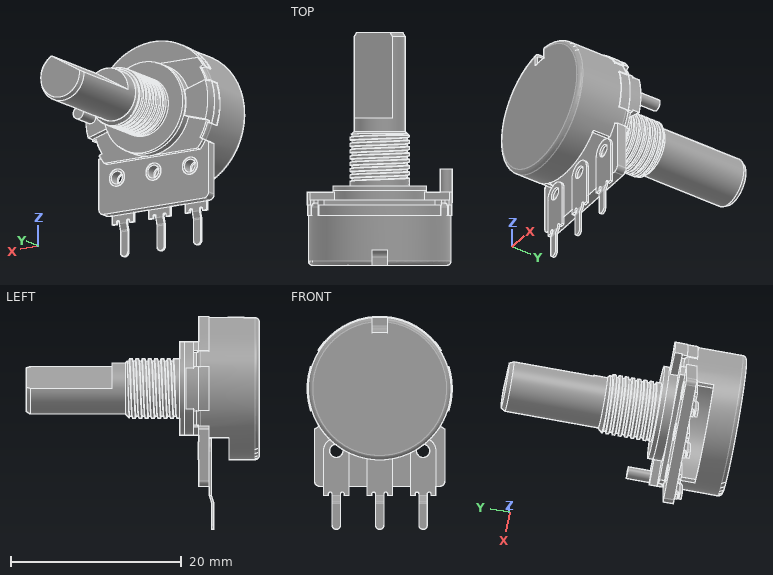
import cadquery as cq
import math


LEDGE_Y = 3.58
WAFER_BACK_Y = 5.87
WAFER_FRONT_Y = 7.1
PLATE_FRONT_Y = 7.7
EAR_FRONT_Y = 8.6
FLANGE_BACK_Y = 8.77
FLANGE_FRONT_Y = 9.35
BUSHING_END_Y = 15.68
FLAT_START_Y = 17.27
SHAFT_END_Y = 27.32

CAN_RADIUS = 8.35
CAN_WALL = 0.3
CAN_INNER_RADIUS = CAN_RADIUS - CAN_WALL
CAN_ROUNDING = 0.52
CAN_CUT_Z = -5.76
TAB_END_Y = 7.4
NOTCH_WIDTH = 1.78
NOTCH_DEPTH_Y = 1.8
NOTCH_FLOOR_Z = 6.55
NOTCH_ROUNDING = 0.8

GAP_START = 17.8
GAP_END = 31.8

WAFER_RADIUS = 8.47
WAFER_HALF_WIDTH = 7.65
WAFER_BOTTOM_Z = -11.47
WAFER_CORNER_RADIUS = 0.65
RIM_RADIUS = 1.05
RIM_HEIGHT = 0.08

PLATE_RADIUS = 17.02 / 2
EAR_HALF_ANGLE = 16.3
PIN_RADIUS = 0.7
PIN_END_Y = 11.3

FLANGE_RADIUS = 5.5
BUSHING_RADIUS = 3.5
BUSHING_CHAMFER = 0.46
THREAD_PITCH = 0.75
THREAD_DEPTH = 0.25
GROOVE_MOUTH = 0.4
GROOVE_ROOT = 0.25
THREAD_START_Y = 9.7

SHAFT_RADIUS = 3.0
FLAT_DISTANCE = SHAFT_RADIUS / 2
FLAT_ANGLE = 30.0
TIP_CHAMFER_LENGTH = 0.52
TIP_CHAMFER_INSET = 0.3

TERMINAL_SPACING = 5.08
TERMINAL_X = [-TERMINAL_SPACING, 0, TERMINAL_SPACING]
TERMINAL_WIDTH = 3.0
TERMINAL_THICKNESS = 0.27
HOLE_Z = -7.3
HOLE_RADIUS = 0.76
SHOULDER_Z = -12.55
LEG_WIDTH = 1.0
LEG_END_Z = -16.5
LEG_OFFSET = 0.27
BEND_END_Z = -13.4
BEND_RADIUS = 0.52
RELIEF_WIDTH = 0.4
RELIEF_DEPTH = 0.4

CLEARANCE = 0.27


def disk(radius, y_start, y_end, x=0, z=0):
    """Cylinder parallel to the shaft axis."""
    return cq.Workplane("XZ", origin=(x, y_start, z)).circle(radius).extrude(y_start - y_end)


def block(x_start, x_end, y_start, y_end, z_start, z_end):
    """Box between two opposite corners."""
    size = (x_end - x_start, y_end - y_start, z_end - z_start)
    return cq.Workplane("XY").box(*size, centered=False).translate((x_start, y_start, z_start))


def on_circle(radius, angle):
    """Point (X, Z) on a circle around the shaft axis."""
    return (radius * math.cos(math.radians(angle)), radius * math.sin(math.radians(angle)))


def ring_sector(inner_radius, outer_radius, start, end, y_start, y_end):
    """Piece of a ring around the shaft axis with radial sides."""
    middle = (start + end) / 2
    return (
        cq.Workplane("XZ", origin=(0, y_start, 0))
        .moveTo(*on_circle(inner_radius, start))
        .lineTo(*on_circle(outer_radius, start))
        .threePointArc(on_circle(outer_radius, middle), on_circle(outer_radius, end))
        .lineTo(*on_circle(inner_radius, end))
        .threePointArc(on_circle(inner_radius, middle), on_circle(inner_radius, start))
        .close()
        .extrude(y_start - y_end)
    )


def tab_gaps(outer_radius, y_start, y_end):
    """The four rim gaps, mirrored about both the X and the Z axis."""
    starts = [GAP_START, 180 - GAP_END, 180 + GAP_START, 360 - GAP_END]
    width = GAP_END - GAP_START
    gaps = cq.Workplane("XZ")
    for start in starts:
        gaps = gaps.add(ring_sector(CAN_INNER_RADIUS, outer_radius, start, start + width, y_start, y_end))
    return gaps.combine()


def can_notch(floor_z, depth_y, rounding):
    """Notch cutter at the top of the back rim, rounded between its floor and its end wall."""
    notch = block(
        -NOTCH_WIDTH / 2, NOTCH_WIDTH / 2, -CLEARANCE, depth_y, floor_z, CAN_RADIUS + CLEARANCE
    )
    return notch.edges("|X and >Y and <Z").fillet(rounding)


def make_can():
    outside = disk(CAN_RADIUS, 0, TAB_END_Y).faces("<Y or >Y").edges().fillet(CAN_ROUNDING)
    inside = disk(CAN_INNER_RADIUS, CAN_WALL, TAB_END_Y)
    inside = inside.faces("<Y").edges().fillet(CAN_ROUNDING - CAN_WALL)
    wafer_room = block(-CAN_RADIUS, CAN_RADIUS, WAFER_BACK_Y, TAB_END_Y, -CAN_RADIUS, CAN_RADIUS)
    tabs = tab_gaps(CAN_RADIUS, WAFER_BACK_Y, TAB_END_Y)
    can = outside.cut(inside).cut(wafer_room.cut(tabs))

    opening = block(-CAN_RADIUS, CAN_RADIUS, LEDGE_Y, WAFER_BACK_Y, -CAN_RADIUS, CAN_CUT_Z)
    can = can.cut(opening)

    hollow = can_notch(NOTCH_FLOOR_Z, NOTCH_DEPTH_Y, NOTCH_ROUNDING)
    backing = can_notch(NOTCH_FLOOR_Z - CAN_WALL, NOTCH_DEPTH_Y + CAN_WALL, NOTCH_ROUNDING + CAN_WALL)
    strip = backing.intersect(disk(CAN_RADIUS, 0, WAFER_BACK_Y))
    return can.union(strip).cut(hollow)


def make_wafer():
    shoulder_z = -WAFER_HALF_WIDTH * math.tan(math.radians(GAP_END))
    apron = (
        cq.Workplane("XZ", origin=(0, WAFER_BACK_Y, 0))
        .polyline([
            (0, 0),
            (WAFER_HALF_WIDTH, shoulder_z),
            (WAFER_HALF_WIDTH, WAFER_BOTTOM_Z),
            (-WAFER_HALF_WIDTH, WAFER_BOTTOM_Z),
            (-WAFER_HALF_WIDTH, shoulder_z),
        ])
        .close()
        .extrude(WAFER_BACK_Y - WAFER_FRONT_Y)
        .faces("<Z").edges("|Y").fillet(WAFER_CORNER_RADIUS)
    )
    wafer = disk(WAFER_RADIUS, WAFER_BACK_Y, WAFER_FRONT_Y).union(apron)
    wafer = wafer.cut(tab_gaps(WAFER_RADIUS + CLEARANCE, WAFER_BACK_Y, WAFER_FRONT_Y))
    rim_y = WAFER_FRONT_Y + RIM_HEIGHT
    for x in TERMINAL_X:
        wafer = wafer.union(disk(RIM_RADIUS, WAFER_FRONT_Y, rim_y, x, HOLE_Z))
        wafer = wafer.cut(disk(HOLE_RADIUS, WAFER_BACK_Y, rim_y, x, HOLE_Z))
    return wafer


def make_plate():
    trim = block(
        -PLATE_RADIUS, PLATE_RADIUS, WAFER_FRONT_Y, PLATE_FRONT_Y, -FLANGE_RADIUS, FLANGE_RADIUS
    )
    base = disk(PLATE_RADIUS, WAFER_FRONT_Y, PLATE_FRONT_Y).intersect(trim)
    base = base.cut(tab_gaps(PLATE_RADIUS + CLEARANCE, WAFER_FRONT_Y, PLATE_FRONT_Y))

    plate = base.union(disk(FLANGE_RADIUS, WAFER_FRONT_Y, FLANGE_BACK_Y))
    for direction in (0, 180):
        ear = ring_sector(
            SHAFT_RADIUS, PLATE_RADIUS,
            direction - EAR_HALF_ANGLE, direction + EAR_HALF_ANGLE,
            WAFER_FRONT_Y, EAR_FRONT_Y,
        )
        plate = plate.union(ear)
    plate = plate.union(disk(PIN_RADIUS, WAFER_FRONT_Y, PIN_END_Y, PLATE_RADIUS - PIN_RADIUS))
    return plate.cut(disk(SHAFT_RADIUS, WAFER_FRONT_Y, FLANGE_BACK_Y))


def thread_groove():
    """Right-handed helical groove, swept along Z and then laid along the shaft axis."""
    length = BUSHING_END_Y - THREAD_START_Y + THREAD_PITCH
    root_radius = BUSHING_RADIUS - THREAD_DEPTH
    outer_radius = BUSHING_RADIUS + THREAD_DEPTH
    outer_width = 2 * GROOVE_MOUTH - GROOVE_ROOT
    path = cq.Workplane(cq.Wire.makeHelix(THREAD_PITCH, length, BUSHING_RADIUS))
    profile = cq.Workplane("XZ").polyline([
        (root_radius, -GROOVE_ROOT / 2),
        (outer_radius, -outer_width / 2),
        (outer_radius, outer_width / 2),
        (root_radius, GROOVE_ROOT / 2),
    ]).close()
    groove = profile.sweep(path, isFrenet=True)
    return groove.rotate((0, 0, 0), (1, 0, 0), -90).translate((0, THREAD_START_Y, 0))


def make_bushing():
    envelope = disk(BUSHING_RADIUS, FLANGE_BACK_Y, BUSHING_END_Y).faces(">Y").chamfer(BUSHING_CHAMFER)
    rod = disk(BUSHING_RADIUS, FLANGE_BACK_Y, BUSHING_END_Y + 3 * THREAD_PITCH)
    bushing = rod.cut(thread_groove()).intersect(envelope)
    bushing = bushing.union(disk(FLANGE_RADIUS, FLANGE_BACK_Y, FLANGE_FRONT_Y))
    return bushing.cut(disk(SHAFT_RADIUS, FLANGE_BACK_Y, BUSHING_END_Y))


def make_shaft():
    shaft = (
        cq.Workplane("XY")
        .moveTo(0, WAFER_FRONT_Y)
        .lineTo(SHAFT_RADIUS, WAFER_FRONT_Y)
        .lineTo(SHAFT_RADIUS, SHAFT_END_Y - TIP_CHAMFER_LENGTH)
        .lineTo(SHAFT_RADIUS - TIP_CHAMFER_INSET, SHAFT_END_Y)
        .lineTo(0, SHAFT_END_Y)
        .close()
        .revolve(360, (0, 0, 0), (0, 1, 0))
    )
    flat = block(-SHAFT_RADIUS, SHAFT_RADIUS, FLAT_START_Y, SHAFT_END_Y, FLAT_DISTANCE, SHAFT_RADIUS)
    return shaft.cut(flat.rotate((0, 0, 0), (0, 1, 0), -FLAT_ANGLE))


def make_terminal():
    """Terminal centred on X = 0: the intersection of its bent strip with its face outline."""
    front_y = WAFER_BACK_Y
    back_y = front_y - TERMINAL_THICKNESS
    top_z = HOLE_Z + TERMINAL_WIDTH / 2
    strip = (
        cq.Workplane("YZ", origin=(-TERMINAL_WIDTH / 2, 0, 0))
        .polyline([
            (front_y, top_z),
            (front_y, SHOULDER_Z),
            (front_y - LEG_OFFSET, BEND_END_Z),
            (front_y - LEG_OFFSET, LEG_END_Z),
            (back_y - LEG_OFFSET, LEG_END_Z),
            (back_y - LEG_OFFSET, BEND_END_Z),
            (back_y, SHOULDER_Z),
            (back_y, top_z),
        ])
        .close()
        .extrude(TERMINAL_WIDTH)
    )
    around_bend = cq.selectors.BoxSelector(
        (-TERMINAL_WIDTH, back_y - LEG_OFFSET - CLEARANCE, BEND_END_Z - CLEARANCE),
        (TERMINAL_WIDTH, front_y, BEND_END_Z + CLEARANCE),
    )
    strip = strip.edges(around_bend).fillet(BEND_RADIUS)

    half_width = TERMINAL_WIDTH / 2
    half_leg = LEG_WIDTH / 2
    relief_radius = RELIEF_WIDTH / 2
    relief_z = SHOULDER_Z + RELIEF_DEPTH - relief_radius
    outline = (
        cq.Workplane("XZ", origin=(0, front_y, 0))
        .moveTo(half_width, HOLE_Z)
        .threePointArc((0, top_z), (-half_width, HOLE_Z))
        .lineTo(-half_width, SHOULDER_Z)
        .lineTo(-half_leg - RELIEF_WIDTH, SHOULDER_Z)
        .lineTo(-half_leg - RELIEF_WIDTH, relief_z)
        .threePointArc((-half_leg - relief_radius, relief_z + relief_radius), (-half_leg, relief_z))
        .lineTo(-half_leg, LEG_END_Z + half_leg)
        .threePointArc((0, LEG_END_Z), (half_leg, LEG_END_Z + half_leg))
        .lineTo(half_leg, relief_z)
        .threePointArc(
            (half_leg + relief_radius, relief_z + relief_radius), (half_leg + RELIEF_WIDTH, relief_z)
        )
        .lineTo(half_leg + RELIEF_WIDTH, SHOULDER_Z)
        .lineTo(half_width, SHOULDER_Z)
        .close()
        .extrude(TERMINAL_THICKNESS + LEG_OFFSET)
    )

    hole = disk(HOLE_RADIUS, back_y, front_y, 0, HOLE_Z)
    return strip.intersect(outline).cut(hole)


can = make_can()
wafer = make_wafer()
plate = make_plate()
bushing = make_bushing()
shaft = make_shaft()
terminals = []
for terminal_x in TERMINAL_X:
    terminals.append(make_terminal().translate((terminal_x, 0, 0)).val())

result = cq.Compound.makeCompound(
    [can.val(), wafer.val(), plate.val(), bushing.val(), shaft.val(), *terminals]
)